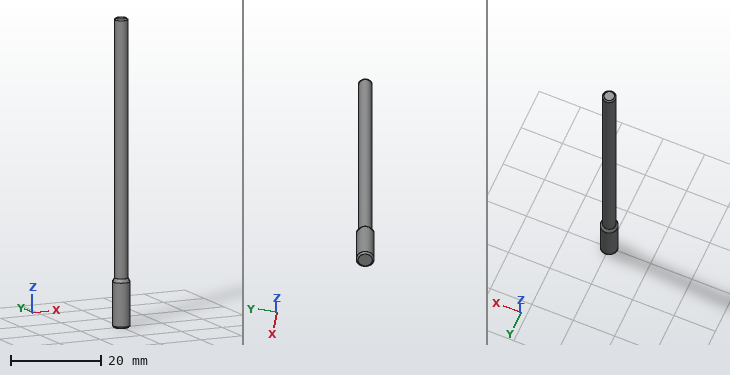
import cadquery as cq
import math

total_length = 70.0
head_diameter = 4.0
rod_diameter = 3.0
head_length = 11.2
shoulder_half_angle = 30.0
head_chamfer = 0.4
rod_chamfer = 0.35

rod_length = total_length - head_length
shoulder_width = (head_diameter - rod_diameter) / 2
shoulder_height = shoulder_width / math.tan(math.radians(shoulder_half_angle))


def make_head():
    """Thick lower cylinder, chamfered below and tapering to the rod diameter above."""
    blank = cq.Workplane("XY").circle(head_diameter / 2).extrude(head_length)
    tapered = blank.faces(">Z").chamfer(shoulder_height, shoulder_width)
    return tapered.faces("<Z").chamfer(head_chamfer)


def make_rod():
    """Slender rod standing on the head, with a chamfered free end."""
    seat = cq.Workplane("XY").workplane(offset=head_length)
    blank = seat.circle(rod_diameter / 2).extrude(rod_length)
    return blank.faces(">Z").chamfer(rod_chamfer)


head = make_head()
rod = make_rod()

result = cq.Compound.makeCompound([head.val(), rod.val()])